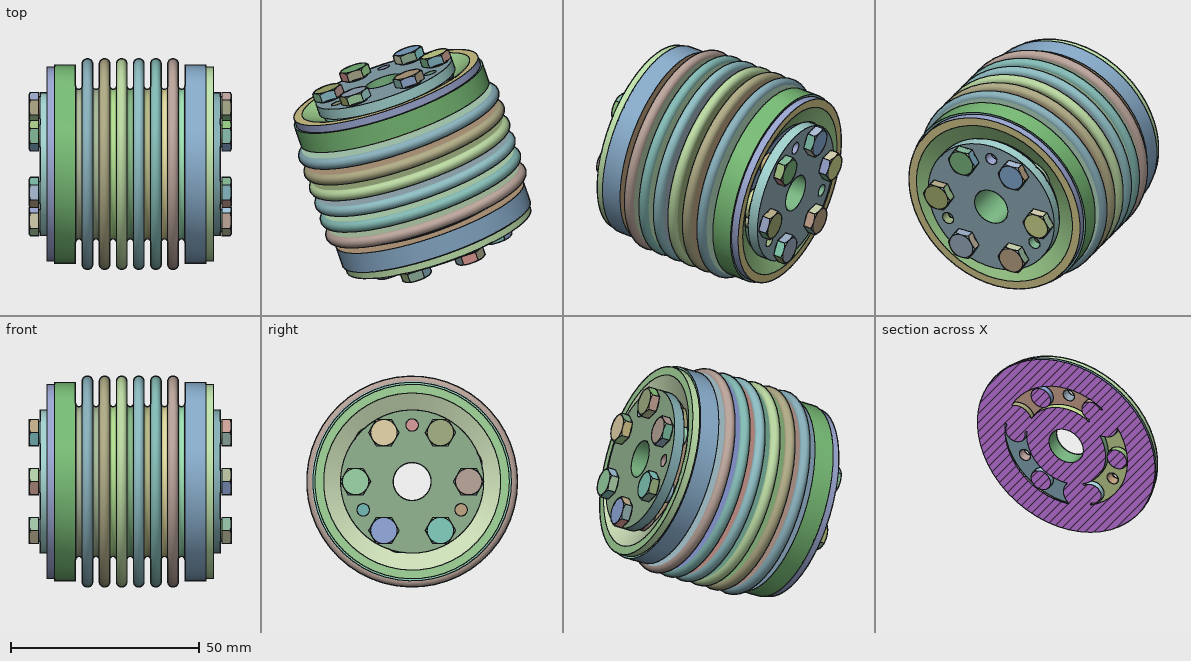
import cadquery as cq
import math

length = 53.61
bore_diameter = 10.0

crest_diameter = 56.0
root_diameter = 39.8
crest_count = 6
crest_pitch = 4.54
crest_width = 2.86

ring_inner_face = 14.55
ring_step_face = 20.05
ring_outer_face = 22.1
ring_diameter = 52.7
ring_lip_diameter = 51.6

recess_mouth_diameter = 47.0
recess_floor_diameter = 36.0
recess_depth = 2.7

plate_diameter = 38.0
plate_thickness = 2.9
plate_outer_face = 23.9
hub_diameter = 23.5

bolt_count = 6
hexagon_sides = 6
bolt_circle_diameter = 30.0
head_across_flats = 7.0
head_chamfer_angle = 30.0
washer_face_diameter = 5.9
washer_face_thickness = 0.4
spacer_diameter = 5.9

boss_count = 3
boss_first_angle = 17.0
boss_diameter = 8.5

pin_hole_count = 3
pin_hole_first_angle = 90.0
pin_hole_diameter = 3.3

half_length = length / 2
recess_floor = ring_outer_face - recess_depth
plate_inner_face = plate_outer_face - plate_thickness
head_inner_face = plate_outer_face + washer_face_thickness
head_height = half_length - head_inner_face
head_across_corners = head_across_flats / math.cos(math.pi / hexagon_sides)


def rod(diameter, start, end, centre=(0, 0)):
    """Cylinder along X from start to end, centred at (y, z)."""
    plane = cq.Workplane("YZ", origin=(start, 0, 0))
    return plane.center(*centre).circle(diameter / 2).extrude(end - start)


def circle_points(count, first_angle):
    """Evenly spaced (y, z) points on the bolt circle."""
    radius = bolt_circle_diameter / 2
    angles = [math.radians(first_angle + i * 360 / count) for i in range(count)]
    return [(radius * math.cos(a), radius * math.sin(a)) for a in angles]


def make_bellows():
    """Revolved corrugation of round crests and round roots joined by straight walls."""
    crest_radius = crest_width / 2
    root_radius = (crest_pitch - crest_width) / 2
    crest_top = crest_diameter / 2
    crest_wall_end = crest_top - crest_radius
    root_bottom = root_diameter / 2
    root_wall_end = root_bottom + root_radius
    first_crest = -(crest_count - 1) / 2 * crest_pitch
    first_root = first_crest - crest_pitch / 2

    profile = cq.Workplane("XY").moveTo(-ring_inner_face, 0)
    profile = profile.lineTo(-ring_inner_face, root_wall_end)
    profile = profile.lineTo(first_root - root_radius, root_wall_end)
    for i in range(crest_count):
        crest = first_crest + i * crest_pitch
        root = crest - crest_pitch / 2
        profile = profile.threePointArc((root, root_bottom), (root + root_radius, root_wall_end))
        profile = profile.lineTo(crest - crest_radius, crest_wall_end)
        profile = profile.threePointArc((crest, crest_top), (crest + crest_radius, crest_wall_end))
        profile = profile.lineTo(crest + crest_radius, root_wall_end)
    profile = profile.threePointArc((-first_root, root_bottom), (-first_root + root_radius, root_wall_end))
    profile = profile.lineTo(ring_inner_face, root_wall_end)
    profile = profile.lineTo(ring_inner_face, 0).close()
    return profile.revolve(360, (0, 0, 0), (1, 0, 0))


def make_end_ring():
    """Stepped ring on the +X end, with its conical recess."""
    outline = [
        (ring_inner_face, 0),
        (ring_inner_face, ring_diameter / 2),
        (ring_step_face, ring_diameter / 2),
        (ring_step_face, ring_lip_diameter / 2),
        (ring_outer_face, ring_lip_diameter / 2),
        (ring_outer_face, recess_mouth_diameter / 2),
        (recess_floor, recess_floor_diameter / 2),
        (recess_floor, 0),
    ]
    return cq.Workplane("XY").polyline(outline).close().revolve(360, (0, 0, 0), (1, 0, 0))


def make_plate():
    """Clamping plate on its hub, pierced by the pin holes."""
    plate = rod(plate_diameter, plate_inner_face, plate_outer_face)
    hub = rod(hub_diameter, recess_floor, plate_inner_face)
    plate = plate.union(hub)
    for point in circle_points(pin_hole_count, pin_hole_first_angle):
        plate = plate.cut(rod(pin_hole_diameter, plate_inner_face, plate_outer_face, point))
    return plate


def make_bolt(centre):
    """Hexagon bolt with a chamfered head, a washer face and a spacer sleeve down to the recess floor."""
    plane = cq.Workplane("YZ", origin=(head_inner_face, 0, 0)).center(*centre)
    head = plane.polygon(hexagon_sides, head_across_corners).extrude(head_height)

    slope = math.tan(math.radians(head_chamfer_angle))
    base_radius = head_across_flats / 2 + head_height / slope
    trim = cq.Solid.makeCone(
        base_radius,
        head_across_flats / 2,
        head_height,
        cq.Vector(head_inner_face, *centre),
        cq.Vector(1, 0, 0),
    )
    head = head.intersect(cq.Workplane(trim))
    washer_face = rod(washer_face_diameter, plate_outer_face, head_inner_face, centre)
    spacer = rod(spacer_diameter, recess_floor, plate_outer_face, centre)
    return head.union(washer_face).union(spacer)


def make_end():
    """Everything on the +X end."""
    end = make_end_ring().union(make_plate())
    for point in circle_points(boss_count, boss_first_angle):
        end = end.union(rod(boss_diameter, recess_floor, plate_inner_face, point))
    for point in circle_points(bolt_count, 0):
        end = end.union(make_bolt(point))
    return end


right_end = make_end()
left_end = right_end.mirror("YZ")
body = make_bellows().union(right_end).union(left_end)
result = body.cut(rod(bore_diameter, -half_length, half_length))